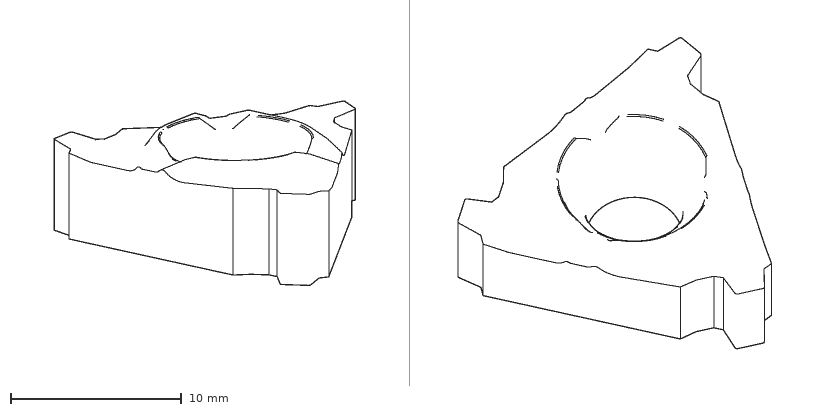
import cadquery as cq
import math

CORNER_ANGLES = (0, 120, 240)
HUGE = 37.2

top_height = 6.05
floor_height = 5.0
rim_height = 5.28

side_distance = 6.35
side_normal_angle = 60.0
shoulder_height = 7.48
root_height = 7.75
tip_height = 9.28
root_left = -5.8
root_right = -3.33
tip_left = -5.44
tip_right = -3.68
shoulder_left = -2.83
shoulder_right = -1.75
shoulder_peak = -0.73
tip_radius = 0.17
root_radius = 0.1

rake_angle = 10.0
rake_start = 5.887
rake_blend_radius = 0.93

plateau_distance = 4.84
wall_lean = 35.0
wall_foot_radius = 0.698
plateau_edge_radius = 0.07
first_wall_angle = 90.0
second_wall_angle = 120.0

slot_angle = 45.0
slot_offset = 0.07
slot_floor_half_width = 0.54
slot_top_half_width = 1.5
slot_corner_radius = 0.28
slot_inner_end = 1.86
slot_edge_radius = 0.19

hole_diameter = 5.7
seat_bottom = 2.3
seat_top = 5.05
seat_top_radius = 3.89
rim_inner_radius = 4.02
rim_outer_radius = 4.25
recess_radius = 4.48
rim_edge_radius = 0.11
rim_foot_radius = 0.19
recess_edge_radius = 0.1


def rotated(point, degrees):
    """Turn a plan point about the hole axis."""
    turn = math.radians(degrees)
    x, y = point
    return (x * math.cos(turn) - y * math.sin(turn), x * math.sin(turn) + y * math.cos(turn))


def rounded_corner(before, corner, after, radius):
    """Start, middle and end of the arc that rounds a corner between two straight lines."""
    to_before = math.atan2(before[1] - corner[1], before[0] - corner[0])
    to_after = math.atan2(after[1] - corner[1], after[0] - corner[0])
    half_angle = abs(math.remainder(to_after - to_before, 2 * math.pi)) / 2
    middle = to_before + math.remainder(to_after - to_before, 2 * math.pi) / 2

    def step(direction, length):
        return (corner[0] + length * math.cos(direction), corner[1] + length * math.sin(direction))

    tangent = radius / math.tan(half_angle)
    return (
        step(to_before, tangent),
        step(middle, radius / math.sin(half_angle) - radius),
        step(to_after, tangent),
    )


def around_axis(shape):
    """Join three copies of a shape, one per corner."""
    copies = cq.Workplane("XY")
    for angle in CORNER_ANGLES:
        copies = copies.union(shape.rotate((0, 0, 0), (0, 0, 1), angle))
    return copies


def make_outline_prism():
    normal = math.radians(side_normal_angle)
    peak_height = (side_distance - shoulder_peak * math.cos(normal)) / math.sin(normal)
    corner = [
        (-side_distance, shoulder_height),
        (root_left, root_height),
        (tip_left, tip_height),
        (tip_right, tip_height),
        (root_right, root_height),
        (shoulder_left, shoulder_height),
        (shoulder_right, shoulder_height),
        (shoulder_peak, peak_height),
    ]
    points = [rotated(point, -angle) for angle in CORNER_ANGLES for point in corner]
    prism = cq.Workplane("XY").polyline(points).close().extrude(top_height)
    rounded_points = (
        ((root_left, root_height), root_radius),
        ((tip_left, tip_height), tip_radius),
        ((tip_right, tip_height), tip_radius),
    )
    for angle in CORNER_ANGLES:
        for point, radius in rounded_points:
            x, y = rotated(point, angle)
            upright_edge = cq.selectors.NearestToPointSelector((x, y, top_height / 2))
            prism = prism.edges(upright_edge).fillet(radius)
    return prism


def rake_height(distance):
    return floor_height + (distance - rake_start) * math.tan(math.radians(rake_angle))


def make_floor():
    """Level floor with a rake face rising toward each tooth, blended by a shallow arc."""
    outer_end = (HUGE, rake_height(HUGE))
    blend = rounded_corner((0, floor_height), (rake_start, floor_height), outer_end, rake_blend_radius)
    rake = (
        cq.Workplane("YZ", origin=(-HUGE / 2, 0, 0))
        .moveTo(blend[0][0], 0)
        .lineTo(*blend[0])
        .threePointArc(blend[1], blend[2])
        .lineTo(*outer_end)
        .lineTo(HUGE, 0)
        .close()
        .extrude(HUGE)
    )
    level = cq.Workplane("XY").rect(HUGE, HUGE).extrude(floor_height)
    return level.union(around_axis(rake))


def wall_distance(height):
    """Distance from the axis to the flat part of a plateau wall."""
    return plateau_distance + (top_height - height) * math.tan(math.radians(wall_lean))


def plateau_profile(plane):
    """Half section of the plateau: flat top, leaning wall and concave foot."""
    top = (plateau_distance, top_height)
    foot = (wall_distance(floor_height), floor_height)
    foot_arc = rounded_corner(top, foot, (HUGE, floor_height), wall_foot_radius)
    return (
        plane.moveTo(0, 0)
        .lineTo(0, top_height)
        .lineTo(*top)
        .lineTo(*foot_arc[0])
        .threePointArc(foot_arc[1], foot_arc[2])
        .lineTo(foot_arc[2][0], 0)
        .close()
    )


def plateau_straight(wall_angle, first_angle, last_angle):
    """Straight wall facing wall_angle, kept between two directions from the axis."""
    wall = plateau_profile(cq.Workplane("XZ", origin=(0, HUGE / 2, 0))).extrude(HUGE)
    wall = wall.rotate((0, 0, 0), (0, 0, 1), wall_angle)
    wedge_points = [(0, 0), rotated((HUGE, 0), first_angle), rotated((HUGE, 0), last_angle)]
    wedge = cq.Workplane("XY").polyline(wedge_points).close().extrude(top_height)
    return wall.intersect(wedge)


def make_plateau():
    """Each third has a straight wall, a conical bend and a second straight wall, mitred at the slots."""
    bend = plateau_profile(cq.Workplane("XZ")).revolve(second_wall_angle - first_wall_angle, (0, 0), (0, 1))
    bend = bend.rotate((0, 0, 0), (0, 0, 1), first_wall_angle)
    third = (
        bend
        .union(plateau_straight(first_wall_angle, slot_angle, first_wall_angle))
        .union(plateau_straight(second_wall_angle, second_wall_angle, slot_angle + 120))
    )
    return around_axis(third)


def make_slots():
    """Channels with a level floor and leaning walls, running outward between the corners."""
    rise = top_height - rim_height
    spread = slot_top_half_width - slot_floor_half_width
    slot = (
        cq.Workplane("YZ", origin=(slot_inner_end, slot_offset, rim_height))
        .moveTo(-slot_floor_half_width, 0)
        .lineTo(slot_floor_half_width, 0)
        .lineTo(slot_top_half_width + spread, 2 * rise)
        .lineTo(-slot_top_half_width - spread, 2 * rise)
        .close()
        .extrude(HUGE)
        .edges("|X and <Z")
        .fillet(slot_corner_radius)
    )
    return around_axis(slot.rotate((0, 0, 0), (0, 0, 1), slot_angle))


def round_plateau_edges(plateau):
    """Round the edges between slot walls and plateau walls, then all edges of the plateau top."""
    height = (top_height + rim_height) / 2
    half_width = (slot_top_half_width + slot_floor_half_width) / 2
    mitre = wall_distance(height) * math.sqrt(2)
    for angle in CORNER_ANGLES:
        for side in (-1, 1):
            across = slot_offset + side * half_width
            x, y = rotated((mitre - side * across, across), angle + slot_angle)
            edge = cq.selectors.NearestToPointSelector((x, y, height))
            plateau = plateau.edges(edge).fillet(slot_edge_radius)
    return plateau.faces(">Z").edges().fillet(plateau_edge_radius)


def make_foot_rounds():
    """Cylinders that hollow the valley between each first wall and its rake face."""
    lean = math.tan(math.radians(wall_lean))
    slope = math.tan(math.radians(rake_angle))
    valley = (wall_distance(floor_height) + rake_start * slope * lean) / (1 + slope * lean)
    corner = (valley, rake_height(valley))
    outer = (HUGE, rake_height(HUGE))
    arc = rounded_corner((plateau_distance, top_height), corner, outer, wall_foot_radius)
    toward_center = math.atan2(arc[1][1] - corner[1], arc[1][0] - corner[0])
    center = (
        arc[1][0] + wall_foot_radius * math.cos(toward_center),
        arc[1][1] + wall_foot_radius * math.sin(toward_center),
    )
    return around_axis(cq.Workplane("YZ").center(*center).circle(wall_foot_radius).extrude(HUGE))


def make_hole():
    """Through hole, flared seat, narrow rim and conical recess up to the plateau top."""
    hole_radius = hole_diameter / 2
    flare_width = seat_top_radius - hole_radius
    flare_height = seat_top - seat_bottom
    flare_radius = (flare_width ** 2 + flare_height ** 2) / (2 * flare_width)
    half_turn = math.asin(flare_height / flare_radius) / 2
    flare_mid = (
        hole_radius + flare_radius * (1 - math.cos(half_turn)),
        seat_bottom + flare_radius * math.sin(half_turn),
    )
    seat_edge = (seat_top_radius, seat_top)
    rim_edge = (rim_inner_radius, rim_height)
    rim_foot = (rim_outer_radius, rim_height)
    recess_edge = (recess_radius, top_height)
    rim_edge_arc = rounded_corner(seat_edge, rim_edge, rim_foot, rim_edge_radius)
    rim_foot_arc = rounded_corner(rim_edge, rim_foot, recess_edge, rim_foot_radius)
    recess_arc = rounded_corner(rim_foot, recess_edge, (HUGE, top_height), recess_edge_radius)
    return (
        cq.Workplane("XZ")
        .lineTo(hole_radius, 0)
        .lineTo(hole_radius, seat_bottom)
        .threePointArc(flare_mid, seat_edge)
        .lineTo(*rim_edge_arc[0])
        .threePointArc(rim_edge_arc[1], rim_edge_arc[2])
        .lineTo(*rim_foot_arc[0])
        .threePointArc(rim_foot_arc[1], rim_foot_arc[2])
        .lineTo(*recess_arc[0])
        .threePointArc(recess_arc[1], recess_arc[2])
        .lineTo(0, top_height)
        .close()
        .revolve(360, (0, 0), (0, 1))
    )


plateau = round_plateau_edges(make_plateau().cut(make_slots()))
body = make_floor().union(plateau).cut(make_foot_rounds()).intersect(make_outline_prism())
result = body.cut(make_hole())